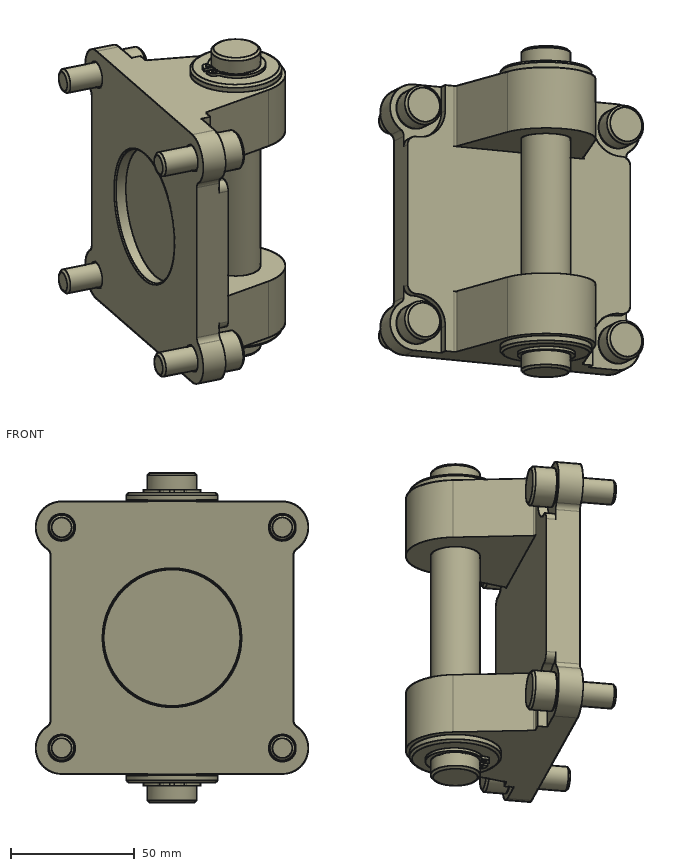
import cadquery as cq
import math


PLATE_HEIGHT = 110.0
PLATE_WIDTH = 98.0
PLATE_THICKNESS = 14.0
FLANGE_THICKNESS = 10.0
BOLT_SPACING = 89.0
EAR_RADIUS = 10.5
EAR_NECK_RADIUS = 3.0
SEAT_RADIUS = 12.0
SEAT_LIP_RADIUS = 3.5
BOLT_HOLE_DIAMETER = 11.0
RECESS_DIAMETER = 55.0
RECESS_DEPTH = 5.0
RECESS_CHAMFER = 0.6

LUG_RADIUS = 20.0
LUG_WIDTH = 25.0
LUG_TAPER_DEG = 15.0
LUG_ROOT_RADIUS = 1.0
PIN_AXIS_Y = 41.0

PIN_DIAMETER = 20.0
PIN_LENGTH = 133.0
PIN_CHAMFER = 1.0

WASHER_DIAMETER = 37.0
WASHER_THICKNESS = 3.0
WASHER_CHAMFER = 1.0
WASHER_GAP = 0.5

RING_THICKNESS = 1.2
RING_GROOVE_DIAMETER = 19.0
RING_OUTER_DIAMETER = 23.2
RING_OFFSET = 0.5
RING_TAB_REACH = 13.7
RING_TAB_HALF_WIDTH = 5.0
RING_TAB_CORNER_RADIUS = 2.0
RING_TAB_NECK_RADIUS = 1.5
RING_GAP = 2.0
RING_HOLE_DIAMETER = 2.0
RING_HOLE_SPACING = 6.0
RING_HOLE_REACH = 11.0

BOLT_DIAMETER = 10.0
BOLT_LENGTH = 25.0
BOLT_TIP_CHAMFER = 1.0
BOLT_HEAD_DIAMETER = 16.0
BOLT_HEAD_HEIGHT = 10.0
BOLT_HEAD_CHAMFER = 1.0
BOLT_HEAD_BASE_CHAMFER = 0.4

HALF_HEIGHT = PLATE_HEIGHT / 2
HALF_WIDTH = PLATE_WIDTH / 2
BOLT_OFFSET = BOLT_SPACING / 2
WASHER_BASE_Z = HALF_HEIGHT + WASHER_GAP
RING_BASE_Z = WASHER_BASE_Z + WASHER_THICKNESS
BOLT_CENTRES = [(x, z) for x in (-BOLT_OFFSET, BOLT_OFFSET) for z in (-BOLT_OFFSET, BOLT_OFFSET)]


def slab_from_quarter(draw_quarter, thickness):
    """Extrude from Y = 0 a quarter outline mirrored about both the X and the Z plane."""
    quarter = draw_quarter(cq.Workplane("XZ").moveTo(0, 0)).close().extrude(-thickness)
    half = quarter.union(quarter.mirror("YZ"))
    return half.union(half.mirror("XY"))


def flange_quarter(sketch):
    """Straight top edge, round ear about the bolt, and a neck arc into the straight side."""
    neck_x = HALF_WIDTH + EAR_NECK_RADIUS
    centre_distance = EAR_RADIUS + EAR_NECK_RADIUS
    run = neck_x - BOLT_OFFSET
    drop = math.sqrt(centre_distance**2 - run**2)
    neck_z = BOLT_OFFSET - drop
    tangent_x = BOLT_OFFSET + EAR_RADIUS * run / centre_distance
    tangent_z = BOLT_OFFSET - EAR_RADIUS * drop / centre_distance
    return (
        sketch.lineTo(0, HALF_HEIGHT)
        .lineTo(BOLT_OFFSET, HALF_HEIGHT)
        .threePointArc((BOLT_OFFSET + EAR_RADIUS, BOLT_OFFSET), (tangent_x, tangent_z))
        .radiusArc((HALF_WIDTH, neck_z), -EAR_NECK_RADIUS)
        .lineTo(HALF_WIDTH, 0)
    )


def pad_quarter(sketch):
    """Plate outline cut back around the bolt head, with a rounded lip at the side."""
    seat_edge = BOLT_OFFSET - SEAT_RADIUS
    return (
        sketch.lineTo(0, HALF_HEIGHT)
        .lineTo(seat_edge, HALF_HEIGHT)
        .lineTo(seat_edge, BOLT_OFFSET)
        .radiusArc((BOLT_OFFSET, seat_edge), -SEAT_RADIUS)
        .lineTo(HALF_WIDTH - SEAT_LIP_RADIUS, seat_edge)
        .radiusArc((HALF_WIDTH, seat_edge - SEAT_LIP_RADIUS), SEAT_LIP_RADIUS)
        .lineTo(HALF_WIDTH, 0)
    )


def make_lug(base_z):
    """Tapered lug with a round end, and small fillets where its sides meet the plate."""
    taper = math.radians(LUG_TAPER_DEG)
    tangent_x = LUG_RADIUS * math.cos(taper)
    tangent_y = PIN_AXIS_Y + LUG_RADIUS * math.sin(taper)
    foot_x = tangent_x + (tangent_y - PLATE_THICKNESS) * math.tan(taper)
    root_length = LUG_ROOT_RADIUS * math.tan((math.pi / 2 - taper) / 2)
    root_foot_x = foot_x + root_length
    root_top_x = foot_x - root_length * math.sin(taper)
    root_top_y = PLATE_THICKNESS + root_length * math.cos(taper)
    return (
        cq.Workplane("XY", origin=(0, 0, base_z))
        .moveTo(-root_foot_x, FLANGE_THICKNESS)
        .lineTo(root_foot_x, FLANGE_THICKNESS)
        .lineTo(root_foot_x, PLATE_THICKNESS)
        .radiusArc((root_top_x, root_top_y), LUG_ROOT_RADIUS)
        .lineTo(tangent_x, tangent_y)
        .threePointArc((0, PIN_AXIS_Y + LUG_RADIUS), (-tangent_x, tangent_y))
        .lineTo(-root_top_x, root_top_y)
        .radiusArc((-root_foot_x, PLATE_THICKNESS), LUG_ROOT_RADIUS)
        .close()
        .extrude(LUG_WIDTH)
    )


def make_bracket():
    """Bolted plate with two lugs bored for the pin and a chamfered blind recess."""
    body = slab_from_quarter(flange_quarter, FLANGE_THICKNESS)
    body = body.union(slab_from_quarter(pad_quarter, PLATE_THICKNESS))
    for base_z in (-HALF_HEIGHT, HALF_HEIGHT - LUG_WIDTH):
        body = body.union(make_lug(base_z))
    body = body.clean()

    bolt_holes = (
        cq.Workplane("XZ").pushPoints(BOLT_CENTRES).circle(BOLT_HOLE_DIAMETER / 2)
        .extrude(-PLATE_THICKNESS)
    )
    recess = cq.Workplane("XZ").circle(RECESS_DIAMETER / 2).extrude(-RECESS_DEPTH)
    recess_mouth = cq.Workplane(cq.Solid.makeCone(
        RECESS_DIAMETER / 2 + RECESS_CHAMFER, RECESS_DIAMETER / 2, RECESS_CHAMFER,
        pnt=cq.Vector(0, 0, 0), dir=cq.Vector(0, 1, 0)))
    pin_bore = (
        cq.Workplane("XY", origin=(0, PIN_AXIS_Y, -HALF_HEIGHT))
        .circle(PIN_DIAMETER / 2).extrude(PLATE_HEIGHT)
    )
    return body.cut(bolt_holes).cut(recess).cut(recess_mouth).cut(pin_bore)


def make_pin():
    """Chamfered pin with a retaining ring groove near each end."""
    pin = (
        cq.Workplane("XY", origin=(0, PIN_AXIS_Y, -PIN_LENGTH / 2))
        .circle(PIN_DIAMETER / 2).extrude(PIN_LENGTH)
        .faces("<Z or >Z").chamfer(PIN_CHAMFER)
    )
    groove = (
        cq.Workplane("XY", origin=(0, PIN_AXIS_Y, RING_BASE_Z))
        .circle(PIN_DIAMETER / 2).circle(RING_GROOVE_DIAMETER / 2).extrude(RING_THICKNESS)
    )
    return pin.cut(groove).cut(groove.mirror("XY"))


def make_upper_washer():
    """Washer set just clear of the lug, chamfered on its outer rim."""
    return (
        cq.Workplane("XY", origin=(0, PIN_AXIS_Y, WASHER_BASE_Z))
        .circle(WASHER_DIAMETER / 2).extrude(WASHER_THICKNESS)
        .faces(">Z").edges().chamfer(WASHER_CHAMFER)
        .faces("<Z").workplane().hole(PIN_DIAMETER)
    )


def make_upper_ring():
    """Eccentric retaining ring, open toward -Y between two tabs with plier holes."""
    plane = cq.Workplane("XY", origin=(0, PIN_AXIS_Y, RING_BASE_Z))
    tab_corner_y = -math.sqrt(RING_TAB_REACH**2 - RING_TAB_HALF_WIDTH**2)
    tabs = (
        plane.moveTo(-RING_TAB_HALF_WIDTH, 0)
        .lineTo(-RING_TAB_HALF_WIDTH, tab_corner_y)
        .threePointArc((0, -RING_TAB_REACH), (RING_TAB_HALF_WIDTH, tab_corner_y))
        .lineTo(RING_TAB_HALF_WIDTH, 0)
        .close().extrude(RING_THICKNESS)
        .edges("|Z").edges("<Y").fillet(RING_TAB_CORNER_RADIUS)
    )
    ring = plane.center(0, RING_OFFSET).circle(RING_OUTER_DIAMETER / 2).extrude(RING_THICKNESS)
    bore = plane.circle(RING_GROOVE_DIAMETER / 2).extrude(RING_THICKNESS)
    gap = (
        plane.center(0, -RING_TAB_REACH / 2).rect(RING_GAP, RING_TAB_REACH).extrude(RING_THICKNESS)
    )
    plier_holes = (
        plane.center(0, -RING_HOLE_REACH).rarray(RING_HOLE_SPACING, 1, 2, 1)
        .circle(RING_HOLE_DIAMETER / 2).extrude(RING_THICKNESS)
    )
    tab_necks = cq.selectors.BoxSelector(
        (-RING_OUTER_DIAMETER / 2, PIN_AXIS_Y - RING_HOLE_REACH, RING_BASE_Z),
        (RING_OUTER_DIAMETER / 2, PIN_AXIS_Y - RING_GROOVE_DIAMETER / 2, RING_BASE_Z + RING_THICKNESS))
    blank = ring.union(tabs).edges("|Z").edges(tab_necks).fillet(RING_TAB_NECK_RADIUS)
    return blank.cut(bore).cut(gap).cut(plier_holes)


def make_bolt(x, z):
    """Cylinder head bolt seated on the flange, pointing toward -Y."""
    shank = (
        cq.Workplane("XZ", origin=(x, FLANGE_THICKNESS, z))
        .circle(BOLT_DIAMETER / 2).extrude(BOLT_LENGTH)
        .faces("<Y").chamfer(BOLT_TIP_CHAMFER)
    )
    head = (
        cq.Workplane("XZ", origin=(x, FLANGE_THICKNESS, z))
        .circle(BOLT_HEAD_DIAMETER / 2).extrude(-BOLT_HEAD_HEIGHT)
        .faces(">Y").chamfer(BOLT_HEAD_CHAMFER)
        .faces("<Y").chamfer(BOLT_HEAD_BASE_CHAMFER)
    )
    return shank.union(head)


bracket = make_bracket()
pin = make_pin()
upper_washer = make_upper_washer()
washers = [upper_washer, upper_washer.mirror("XY")]
upper_ring = make_upper_ring()
rings = [upper_ring, upper_ring.mirror("XY")]
bolts = [make_bolt(x, z) for x, z in BOLT_CENTRES]

result = cq.Compound.makeCompound(
    [body.solids().val() for body in [bracket, pin, *washers, *rings, *bolts]]
)